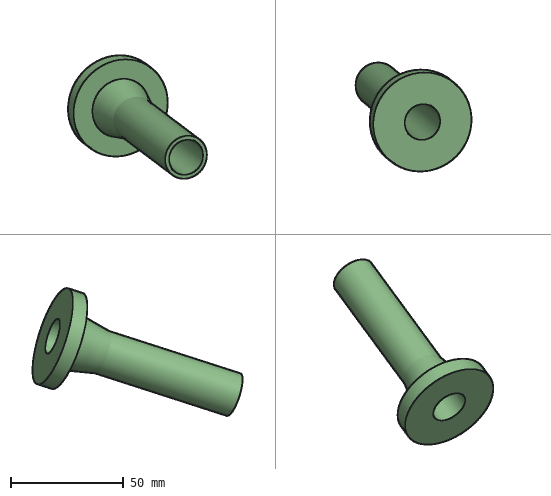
import cadquery as cq

total_length = 88.0
flange_diameter = 45.0
flange_thickness = 7.0
hub_diameter = 27.0
hub_end = 23.9
tube_diameter = 20.0
bore_diameter = 16.2

flange_radius = flange_diameter / 2
hub_radius = hub_diameter / 2
tube_radius = tube_diameter / 2
bore_radius = bore_diameter / 2

half_section = (
    cq.Workplane("XY")
    .moveTo(0, bore_radius)
    .lineTo(0, flange_radius)
    .lineTo(flange_thickness, flange_radius)
    .lineTo(flange_thickness, hub_radius)
    .lineTo(hub_end, tube_radius)
    .lineTo(total_length, tube_radius)
    .lineTo(total_length, bore_radius)
    .close()
)

result = half_section.revolve(360, (0, 0, 0), (1, 0, 0))